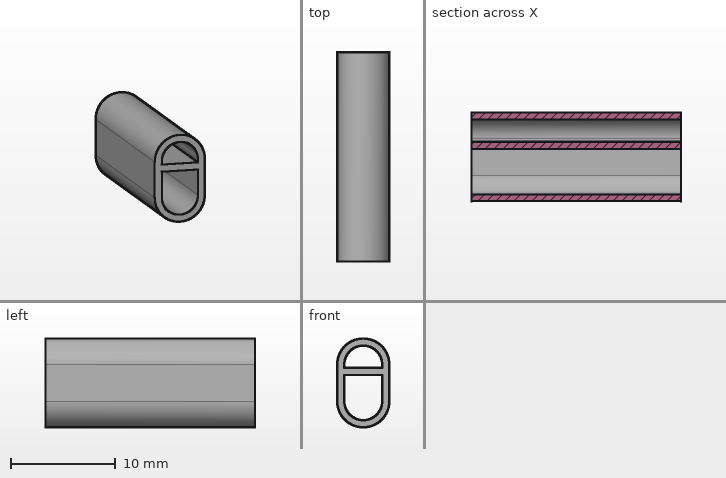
import cadquery as cq

length = 20.0
width = 5.0
height = 8.5
wall = 0.7
web_thickness = 0.7
web_center_z = 1.1


def rounded_bar(bar_width, bar_height):
    """Bar along Y, centred on the origin, with fully rounded top and bottom."""
    return (
        cq.Workplane("XZ")
        .slot2D(bar_height, bar_width, angle=90)
        .extrude(length / 2, both=True)
    )


bore_width = width - 2 * wall
outer = rounded_bar(width, height)
bore = rounded_bar(bore_width, height - 2 * wall)

web = (
    cq.Workplane("XY")
    .box(bore_width + wall, length, web_thickness)
    .translate((0, 0, web_center_z))
)

result = outer.cut(bore).union(web)